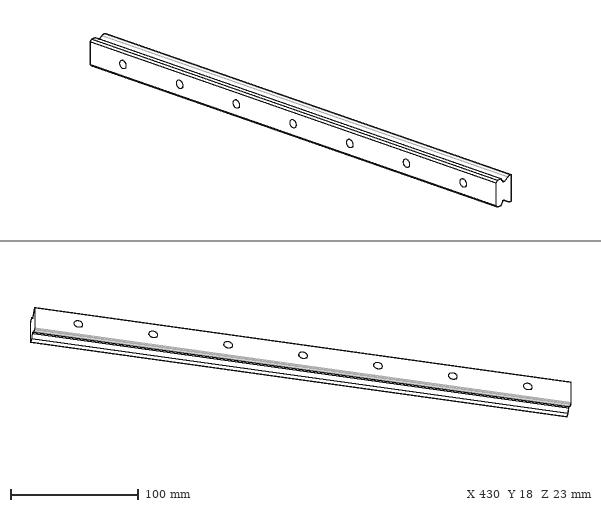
import cadquery as cq

length = 430.0
height = 18.0
width = 23.0

base_chamfer = 1.7
head_corner_radius = 0.65

groove_depth = 3.5
base_shoulder_y = -3.0
floor_start_y = -0.65
floor_end_y = 1.0
head_shoulder_y = 6.0
head_shoulder_radius = 4.7

hole_count = 7
end_distance = 35.0
hole_pitch = (length - 2 * end_distance) / (hole_count - 1)
hole_diameter = 7.0

half_length = length / 2
half_height = height / 2
half_width = width / 2
floor_z = half_width - groove_depth


def make_rail_body():
    """Extrude the symmetric grooved section along X."""
    upper_side = [
        (-half_height, half_width - base_chamfer),
        (-half_height + base_chamfer, half_width),
        (base_shoulder_y, half_width),
        (floor_start_y, floor_z),
        (floor_end_y, floor_z),
        (head_shoulder_y, half_width),
        (half_height, half_width),
    ]
    lower_side = [(y, -z) for y, z in reversed(upper_side)]
    section = cq.Workplane("YZ").polyline(upper_side + lower_side).close()
    return section.extrude(half_length, both=True)


def round_long_edges(body, y, radius):
    """Round the long edges at one Y position on both sides of the rail."""
    edges = [
        body.edges(cq.NearestToPointSelector((0, y, side * half_width))).val()
        for side in (-1, 1)
    ]
    return body.newObject(edges).fillet(radius)


def make_holes():
    """Evenly spaced holes centred on the rail, running through along Y."""
    return (
        cq.Workplane("XZ")
        .rarray(hole_pitch, 4.5, hole_count, 1)
        .circle(hole_diameter / 2)
        .extrude(half_height, both=True)
    )


rail = make_rail_body()
rail = round_long_edges(rail, head_shoulder_y, head_shoulder_radius)
rail = round_long_edges(rail, half_height, head_corner_radius)
result = rail.cut(make_holes())